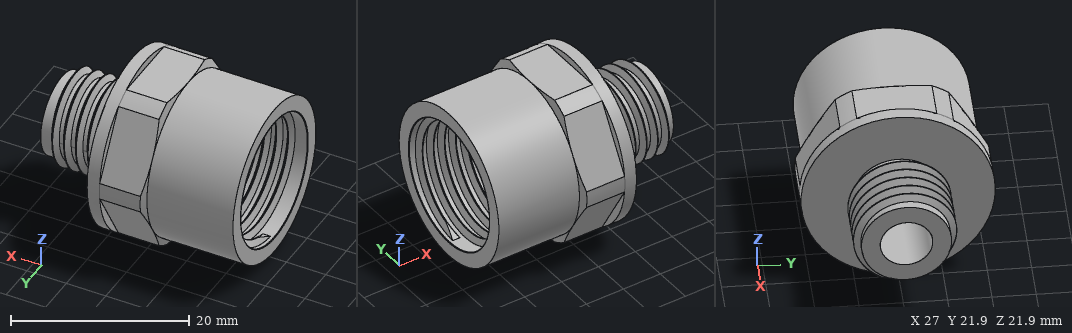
import cadquery as cq
import math

total_length = 27.0
hex_start = 10.9
flange_start = 16.42
flange_end = 18.0
flange_diameter = 21.95
socket_diameter = 20.0
spigot_diameter = 10.18
hex_chamfer_length = 0.35

through_diameter = 5.9
socket_bore_diameter = 16.1
mouth_chamfer = 0.08

spigot_thread_turns = 5
spigot_thread_length = 7.5
pitch = spigot_thread_length / spigot_thread_turns
ridge_base_width = 0.97
ridge_crest_width = 0.1
root_overlap = 0.08
spigot_thread_crest_diameter = 11.75
spigot_thread_start = 18.7
spigot_thread_runout_angle = 27.5
socket_thread_crest_diameter = 14.58
socket_thread_start = 1.0
socket_thread_turns = 8
socket_thread_runout_angle = 17.0

socket_bore_depth = socket_thread_turns * pitch + 2 * socket_thread_start


def rod(diameter, start, end):
    """Cylinder on the X axis between two X positions."""
    return cq.Workplane("YZ", origin=(start, 0, 0)).circle(diameter / 2).extrude(end - start)


def hex_section():
    """Hexagon with its flats level with the socket, corners rounded and chamfered towards the socket."""
    corner_diameter = socket_diameter / math.cos(math.pi / 6)
    prism = (
        cq.Workplane("YZ", origin=(hex_start, 0, 0))
        .polygon(6, corner_diameter)
        .extrude(flange_start - hex_start)
    )
    envelope = (
        cq.Workplane("XY")
        .moveTo(hex_start, 0)
        .lineTo(hex_start, socket_diameter / 2)
        .lineTo(hex_start + hex_chamfer_length, flange_diameter / 2)
        .lineTo(flange_start, flange_diameter / 2)
        .lineTo(flange_start, 0)
        .close()
        .revolve(360, (0, 0, 0), (1, 0, 0))
    )
    return prism.intersect(envelope)


def mouth_cone():
    """Cone that breaks the edge of the socket bore at the mouth."""
    bore_radius = socket_bore_diameter / 2
    return (
        cq.Workplane("XY")
        .polyline([(0, 0), (0, bore_radius + mouth_chamfer), (mouth_chamfer, bore_radius), (mouth_chamfer, 0)])
        .close()
        .revolve(360, (0, 0, 0), (1, 0, 0))
    )


def thread_ridge(root_diameter, crest_diameter, start, turns, runout_angle):
    """Helical ridge on the X axis, internal or external, running out to its root at both ends."""
    root = root_diameter / 2
    crest = crest_diameter / 2
    outward = math.copysign(1, crest - root)
    half_base = ridge_base_width / 2
    half_crest = ridge_crest_width / 2
    buried = root - outward * root_overlap
    half_buried = half_base + root_overlap * (half_base - half_crest) / abs(crest - root)

    length = turns * pitch
    helix = cq.Wire.makeHelix(pitch, length, root)
    ridge = (
        cq.Workplane("XZ")
        .polyline([
            (buried, -half_buried),
            (crest, -half_crest),
            (crest, half_crest),
            (buried, half_buried),
        ])
        .close()
        .sweep(cq.Workplane(helix), isFrenet=True)
    )

    beyond = crest + 0.55 * outward
    for centre, direction in ((0, 1), (length, -1)):
        angle = math.radians(runout_angle) * direction
        cos_a = math.cos(angle)
        sin_a = math.sin(angle)
        wedge = (
            cq.Workplane("XY", origin=(0, 0, centre))
            .polyline([
                (root, 0),
                (crest * cos_a, crest * sin_a),
                (beyond * cos_a, beyond * sin_a),
                (beyond, 0),
            ])
            .close()
            .extrude(pitch / 2, both=True)
        )
        ridge = ridge.cut(wedge)
    return ridge.rotate((0, 0, 0), (0, 1, 0), 90).translate((start, 0, 0))


body = (
    rod(socket_diameter, 0, hex_start)
    .union(hex_section())
    .union(rod(flange_diameter, flange_start, flange_end))
    .union(rod(spigot_diameter, flange_end, total_length))
    .cut(rod(socket_bore_diameter, 0, socket_bore_depth))
    .cut(mouth_cone())
    .cut(rod(through_diameter, 0, total_length))
)

spigot_thread = thread_ridge(
    spigot_diameter,
    spigot_thread_crest_diameter,
    spigot_thread_start,
    spigot_thread_turns,
    spigot_thread_runout_angle,
)
socket_thread = thread_ridge(
    socket_bore_diameter,
    socket_thread_crest_diameter,
    socket_thread_start,
    socket_thread_turns,
    socket_thread_runout_angle,
)

result = body.union(spigot_thread).union(socket_thread)